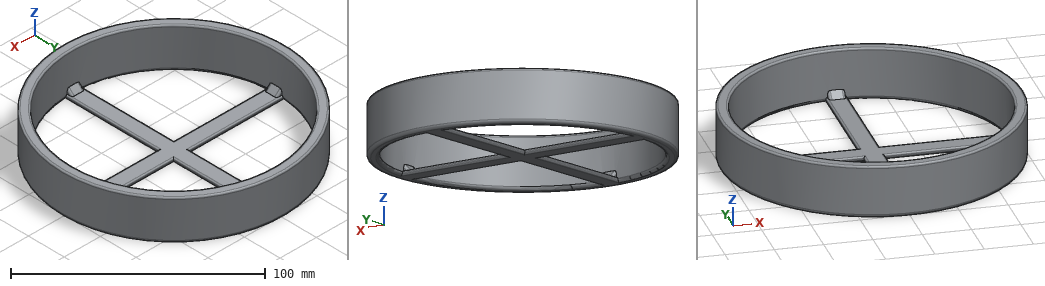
import cadquery as cq

outer_diameter = 122.5
inner_diameter = 112.5
ring_height = 22.0
top_rim_round = 0.9
bottom_rim_round = 1.5

bar_width = 8.5
bar_thickness = 2.0
bar_edge_round = 0.7

gusset_width = bar_width - 2 * bar_edge_round
gusset_size = 3.0
gusset_edge_round = 1.1

inner_radius = inner_diameter / 2
ring_middle_radius = (outer_diameter + inner_diameter) / 4


def make_ring():
    """Round ring with rounded rims, rounder at the bottom."""
    ring = cq.Workplane("XY").circle(outer_diameter / 2).circle(inner_radius).extrude(ring_height)
    ring = ring.faces("<Z").edges().fillet(bottom_rim_round)
    return ring.faces(">Z").edges().fillet(top_rim_round)


def make_cross():
    """Two crossing bars with rounded long edges, ending inside the ring wall."""
    bar_length = 2 * ring_middle_radius
    along_x = cq.Workplane("XY").box(bar_length, bar_width, bar_thickness, centered=(True, True, False))
    along_y = along_x.rotate((0, 0, 0), (0, 0, 1), 90)
    cross = along_x.union(along_y)
    return cross.faces("<Z or >Z").edges().fillet(bar_edge_round)


def make_gusset():
    """A 45 degree wedge at the +X bar end, with its sloping side edges rounded."""
    toe = inner_radius - gusset_size
    rise = ring_middle_radius - toe
    wedge = (
        cq.Workplane("XZ")
        .moveTo(toe, bar_thickness)
        .lineTo(ring_middle_radius, bar_thickness + rise)
        .lineTo(ring_middle_radius, 0)
        .lineTo(toe, 0)
        .close()
        .extrude(gusset_width / 2, both=True)
    )
    slope_direction = cq.Vector(1, 0, 1)
    return wedge.edges(cq.selectors.ParallelDirSelector(slope_direction)).fillet(gusset_edge_round)


result = make_ring().union(make_cross())
gusset = make_gusset()
for quarter_turn in range(4):
    result = result.union(gusset.rotate((0, 0, 0), (0, 0, 1), 90 * quarter_turn))